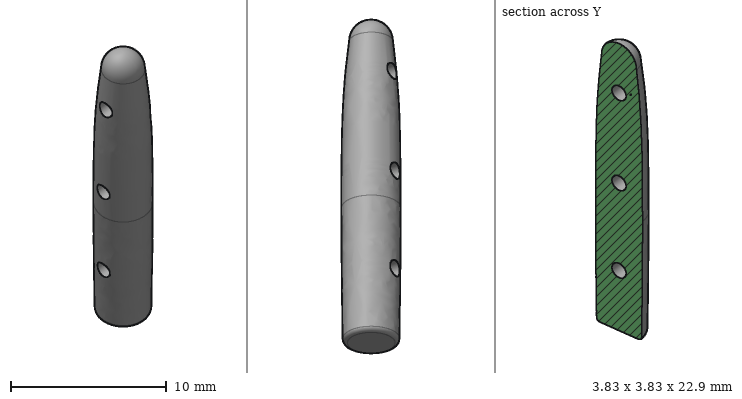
import cadquery as cq
import math

length = 22.95
belly_diameter = 3.83
belly_radius = belly_diameter / 2
belly_height = 9.65
foot_radius = 1.84
arc_middle_share = 0.75

shoulder_radius = 1.8
shoulder_height = 17.33
nose_radius = 1.42
nose_height = length - nose_radius

edge_radius = 0.3

hole_diameter = 1.1
hole_heights = (4.82, 11.8, 18.99)
hole_overrun = 0.23

belly_direction = (0, 1)
nose_direction = (-0.13, 1)


def make_body():
    """Revolve the half outline, given as (radius, height) points, about Z."""
    diagonal = math.sin(math.radians(45))
    edge_center_radius = foot_radius - edge_radius
    edge_middle = (edge_center_radius + edge_radius * diagonal, edge_radius * (1 - diagonal))
    nose_middle = (nose_radius * diagonal, nose_height + nose_radius * diagonal)

    swell = belly_radius - foot_radius
    lower_middle = (foot_radius + arc_middle_share * swell, (edge_radius + belly_height) / 2)

    outline = (
        cq.Workplane("XZ")
        .lineTo(edge_center_radius, 0)
        .threePointArc(edge_middle, (foot_radius, edge_radius))
        .threePointArc(lower_middle, (belly_radius, belly_height))
        .spline(
            [(shoulder_radius, shoulder_height), (nose_radius, nose_height)],
            tangents=[belly_direction, nose_direction],
            includeCurrent=True,
        )
        .threePointArc(nose_middle, (0, length))
        .close()
    )
    return outline.revolve(360, (0, 0, 0), (0, 1, 0))


def make_cross_holes():
    return (
        cq.Workplane("XZ")
        .pushPoints([(0, height) for height in hole_heights])
        .circle(hole_diameter / 2)
        .extrude(belly_radius + hole_overrun, both=True)
    )


result = make_body().cut(make_cross_holes())